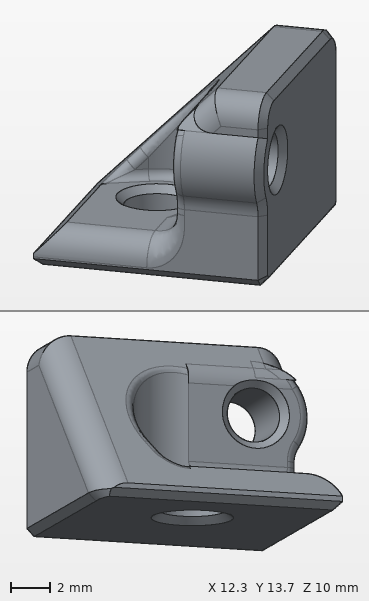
import cadquery as cq
import math

length = 12.32
width = 13.0
height = 10.0
toe_height = 0.67
edge_radius = 1.51
rim_radius = 0.5
chamfer = 0.4
slope_end = height - toe_height

floor_z = 2.0
wall_x = 7.52
well_x = 4.62
well_y = 6.53
well_radius = 3.0
well_flare = math.radians(25)
wall_end_y = well_y - math.sqrt(well_radius**2 - (wall_x - well_x)**2)

base_hole_diameter = 3.4
wall_hole_diameter = 2.8
wall_hole_y = 2.18
wall_hole_z = 6.19
boss_radius = 2.88
boss_top_z = wall_hole_z + math.sqrt(boss_radius**2 - wall_hole_y**2)

margin = 1.37
gap = 0.14
tolerance = 0.001
sin45 = math.sqrt(0.5)


def prism(y_start, y_end):
    """Wedge outline without edge treatment between two Y positions."""
    points = [(0, 0), (length, 0), (length, height), (slope_end, height), (0, toe_height)]
    outline = cq.Workplane("XZ", origin=(0, y_start, 0)).polyline(points).close()
    return outline.extrude(y_start - y_end)


def wedge():
    """Wedge with rounded top and slope edges; the low open-side corner stays square."""
    rounded = prism(0, width)
    edges = rounded.edges(cq.selectors.BoxSelector(
        (gap, -gap, toe_height + gap), (length - gap, width + gap, height + gap))).edges("not |Y")
    rounded = edges.fillet(edge_radius)
    low_corner = prism(0, edge_radius).intersect(
        cq.Workplane("XY").box(length, edge_radius, floor_z + edge_radius, centered=False))
    return rounded.union(low_corner)


def boss():
    """Round lobe on the open side, blended below into the flat side face."""
    blend_radius = edge_radius
    reach = boss_radius + blend_radius
    blend_drop = math.sqrt(reach**2 - (wall_hole_y + blend_radius)**2)
    blend_z = wall_hole_z - blend_drop
    share = boss_radius / reach
    join = (wall_hole_y - share * (wall_hole_y + blend_radius), wall_hole_z - share * blend_drop)
    half_angle = math.atan2(blend_drop, wall_hole_y + blend_radius) / 2
    blend_mid = (-blend_radius + blend_radius * math.cos(half_angle),
                 blend_z + blend_radius * math.sin(half_angle))
    left_arc_mid = (wall_hole_y - boss_radius, wall_hole_z)
    lobe = (
        cq.Workplane("YZ")
        .moveTo(0, blend_z)
        .threePointArc(blend_mid, join)
        .threePointArc(left_arc_mid, (0, boss_top_z))
        .lineTo(wall_hole_y, boss_top_z)
        .lineTo(wall_hole_y, blend_z)
        .close()
        .extrude(length)
    )
    return lobe.intersect(prism(-margin, width))


def boss_crown():
    """Top of the boss where it stands above the rounded slope edge."""
    crown = cq.Workplane("YZ").center(wall_hole_y, wall_hole_z).circle(boss_radius).extrude(length - chamfer)
    inner_block = cq.Workplane("XY", origin=(0, 0, boss_top_z)).box(
        length, wall_hole_y, boss_radius, centered=False)
    return crown.intersect(inner_block).intersect(prism(0, width)).cut(side_pocket())


def side_pocket():
    """Channel open to -Y: rounded into its floor and over into the slope."""
    tangent = edge_radius * math.tan(math.pi / 8)
    wall_top = toe_height + wall_x - tangent
    brow_x = wall_x + tangent * sin45
    brow_z = toe_height + brow_x
    brow_mid = (wall_x + edge_radius * (1 - math.cos(math.pi / 8)),
                wall_top + edge_radius * math.sin(math.pi / 8))
    floor_mid = (wall_x - edge_radius * (1 - sin45), floor_z + edge_radius * (1 - sin45))
    return (
        cq.Workplane("XZ", origin=(0, -margin, 0))
        .moveTo(-margin, floor_z)
        .lineTo(wall_x - edge_radius, floor_z)
        .threePointArc(floor_mid, (wall_x, floor_z + edge_radius))
        .lineTo(wall_x, wall_top)
        .threePointArc(brow_mid, (brow_x, brow_z))
        .lineTo(brow_x, height + margin)
        .lineTo(-margin, height + margin)
        .close()
        .extrude(-(wall_end_y + margin))
    )


def well_foot_end():
    """Y where the foot of the flared wall meets the slope."""
    runout = well_x - (floor_z - toe_height)
    foot_radius = well_radius - rim_radius
    return well_y + foot_radius / math.cos(well_flare) - runout * math.tan(well_flare)


def well():
    """Round clearance above the base hole, flaring straight out towards the slope."""
    flare_x = well_x - well_radius * math.sin(well_flare)
    flare_y = well_y + well_radius * math.cos(well_flare)
    end_y = flare_y - (flare_x + margin) * math.tan(well_flare)
    exit_x = well_x + well_radius * math.cos(well_flare)
    exit_y = well_y - well_radius * math.sin(well_flare)
    end_x = exit_x - (exit_y + margin) * math.tan(well_flare)
    return (
        cq.Workplane("XY", origin=(0, 0, floor_z))
        .moveTo(-margin, end_y)
        .lineTo(flare_x, flare_y)
        .threePointArc((well_x + well_radius * sin45, well_y + well_radius * sin45), (exit_x, exit_y))
        .lineTo(end_x, -margin)
        .lineTo(-margin, -margin)
        .close()
        .extrude(height)
        .faces("<Z").edges().fillet(rim_radius)
    )


def screw_hole(diameter, depth, mouth, direction):
    """Through hole with chamfers at both ends."""
    radius = diameter / 2
    start = cq.Vector(*mouth)
    axis = cq.Vector(*direction)
    bore = cq.Solid.makeCylinder(radius, depth, start, axis)
    cone = cq.Solid.makeCone(radius + chamfer, radius, chamfer, start, axis)
    far_cone = cq.Solid.makeCone(radius + chamfer, radius, chamfer, start + axis * depth, axis * -1)
    return cq.Workplane(bore).union(cq.Workplane(cone)).union(cq.Workplane(far_cone))



def cut_well(body):
    """Cut the well and round its rim on the slope."""
    rim_region = cq.selectors.BoxSelector(
        (floor_z - toe_height, edge_radius, floor_z),
        (slope_end - gap, width - edge_radius - gap, height - gap))
    hollow = body.cut(well())

    def on_slope(point):
        return abs(point.z - point.x - toe_height) < tolerance

    rim = [
        edge for edge in hollow.edges(rim_region).vals()
        if all(on_slope(edge.positionAt(t)) for t in (0, 0.5, 1))
    ]
    floor_end = cq.Workplane("XY").box(well_x, well_foot_end(), floor_z, centered=False).intersect(body)
    return hollow.newObject(rim).fillet(rim_radius).union(floor_end)


def cut_side_pocket(body):
    """Cut the channel and round its open end: large on the floor, tapering to small on the wall."""
    hollow = body.cut(side_pocket())
    rounding = cq.occ_impl.shapes.BRepFilletAPI_MakeFillet(hollow.val().wrapped)

    def edge_near(x, y, z):
        return hollow.edges(cq.selectors.NearestToPointSelector((x, y, z))).val()

    floor_edge = edge_near((floor_z - toe_height + wall_x - edge_radius) / 2, 0, floor_z)
    corner_edge = edge_near(wall_x - edge_radius / 3, 0, floor_z + edge_radius / 3)
    boss_edge = edge_near(wall_x, wall_hole_y - boss_radius, wall_hole_z)
    rounding.Add(edge_radius, floor_edge.wrapped)
    rounding.Add(edge_radius, rim_radius, corner_edge.wrapped)
    rounding.Add(rim_radius, boss_edge.wrapped)
    rounding.Build()
    return cq.Workplane(cq.Shape.cast(rounding.Shape()))


base_hole = screw_hole(base_hole_diameter, floor_z, (well_x, well_y, floor_z), (0, 0, -1))
wall_hole = screw_hole(wall_hole_diameter, length - wall_x, (wall_x, wall_hole_y, wall_hole_z), (1, 0, 0))

body = wedge().union(boss())
body = body.faces("<Z").edges("not >X").chamfer(chamfer)
body = body.faces(">X").edges().chamfer(chamfer)
bracket = cut_side_pocket(body).intersect(cut_well(body)).cut(base_hole).cut(wall_hole)
result = bracket.union(boss_crown(), clean=False)